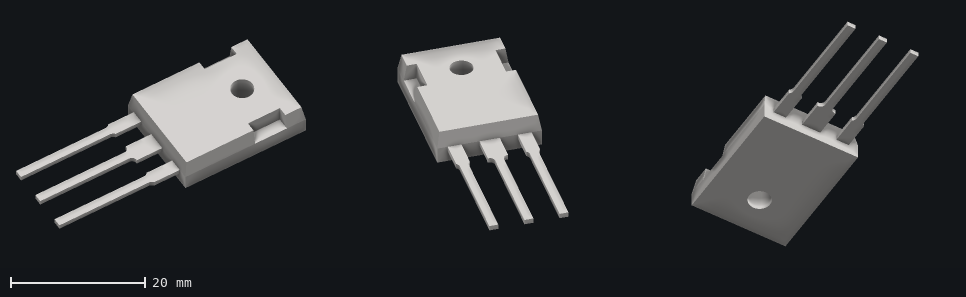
import cadquery as cq
import math

total_length = 41.9

body_width = 16.25
body_length = 21.1
body_height = 5.3
base_height = 2.6
draft_angle = 10.0
upper_height = body_height - base_height

hole_diameter = 3.6
hole_from_end = 6.1
notch_from_end = 3.3
notch_length = 5.57
notch_depth = 2.0

lead_pitch = 5.45
lead_thickness = 0.8
blade_width = 1.4
outer_root_width = 2.15
center_root_width = 3.15
root_length = 4.5
shoulder_length = 0.75
lead_length = total_length - body_length


def make_housing():
    """Rectangular base with a drafted upper half, a through hole and two side notches."""
    base = cq.Workplane("XY").box(body_width, body_length, base_height, centered=(True, False, False))
    housing = base.faces(">Z").wires().toPending().workplane().extrude(upper_height, taper=draft_angle)

    hole = (
        cq.Workplane("XY")
        .center(0, body_length - hole_from_end)
        .circle(hole_diameter / 2)
        .extrude(body_height)
    )
    housing = housing.cut(hole)

    notch_y = body_length - notch_from_end - notch_length / 2
    for side in (-1, 1):
        notch = (
            cq.Workplane("XY", origin=(side * body_width / 2, notch_y, base_height))
            .rect(2 * notch_depth, notch_length)
            .extrude(upper_height)
        )
        housing = housing.cut(notch)
    return housing


def make_lead(center_x, root_width):
    """Flat lead whose wide root narrows to the blade through two concave arcs."""
    root_half = root_width / 2
    blade_half = blade_width / 2
    step = root_half - blade_half
    root_end = -root_length
    blade_start = root_end - shoulder_length

    radius = (step**2 + shoulder_length**2) / (2 * step)
    half_sweep = math.atan2(step, shoulder_length)
    arc_mid_x = blade_half + radius * (1 - math.cos(half_sweep))
    arc_mid_y = blade_start + radius * math.sin(half_sweep)

    return (
        cq.Workplane("XY", origin=(center_x, 0, base_height - lead_thickness))
        .moveTo(-root_half, 0)
        .lineTo(-root_half, root_end)
        .threePointArc((-arc_mid_x, arc_mid_y), (-blade_half, blade_start))
        .lineTo(-blade_half, -lead_length)
        .lineTo(blade_half, -lead_length)
        .lineTo(blade_half, blade_start)
        .threePointArc((arc_mid_x, arc_mid_y), (root_half, root_end))
        .lineTo(root_half, 0)
        .close()
        .extrude(lead_thickness)
    )


housing = make_housing()

root_widths = (outer_root_width, center_root_width, outer_root_width)
leads = []
for index, root_width in enumerate(root_widths):
    lead_x = (index - 1) * lead_pitch
    leads.append(make_lead(lead_x, root_width).val())

result = cq.Compound.makeCompound([housing.val(), *leads])